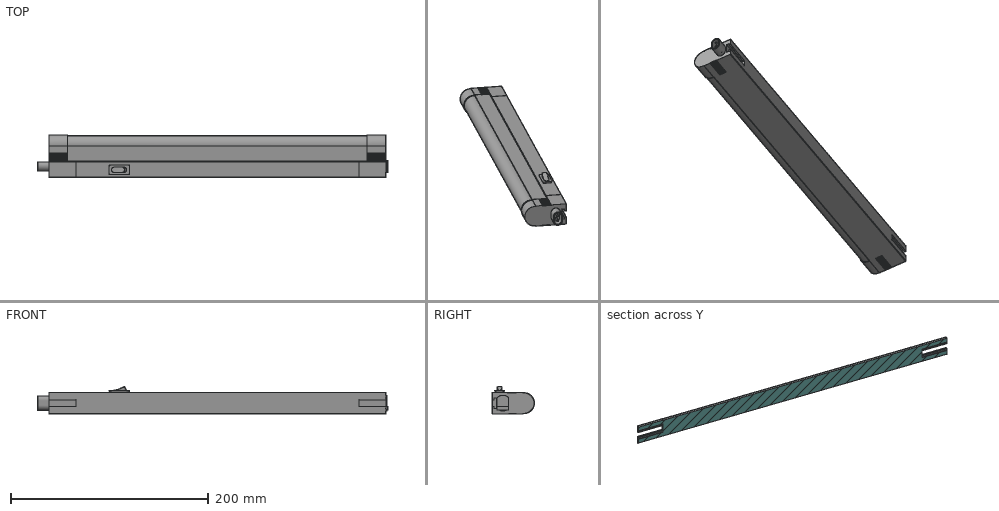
import cadquery as cq
import math

total_length = 355.0
total_depth = 43.0
total_height = 28.0
body_height = 22.0
body_start = 11.5
body_end = 353.0
mid_height = body_height / 2
edge_chamfer = 0.55

flat_end_y = 31.5
round_center_y = 32.3
cap_radius = total_depth - round_center_y
lens_radius = cap_radius - 0.7
cap_length = 19.0

front_depth = 15.5
front_block_length = 27.5
panel_drop = 0.18
seam_width = 0.7
seam_depth = 0.55

grip_start_y = 17.0
groove_count = 8
groove_pitch = 1.0
groove_width = 0.5
groove_depth = 0.55

slot_length = 27.5
slot_mouth_height = 6.7
slot_mouth_depth = 1.8
slot_inner_height = 10.5
slot_depth = 4.5

connector_y = 11.0
plug_height = 14.5
plug_width = 9.5
plug_wall = 1.25
bore_depth = 9.0
pin_diameter = 2.0
pin_spacing = 5.5
pin_length = 7.8
socket_diameter = 16.0
socket_width = 11.7
socket_thickness = 1.0
lip_bottom = 4.3
lip_height = 3.5

switch_start = 72.5
switch_length = 21.0
switch_width = 10.0
switch_y = 7.65
bezel_inset = 0.9
bezel_height = 1.8
rocker_start = 75.0
rocker_length = 15.3
rocker_width = 5.5
rocker_peak_x = 88.0
rocker_sag = 0.9
rocker_crown = 1.0


def box(x_start, x_end, y_start, y_end, z_start, z_end):
    """Box given by its limits along each axis."""
    size = (x_end - x_start, y_end - y_start, z_end - z_start)
    return cq.Workplane("XY").box(*size, centered=False).translate((x_start, y_start, z_start))


def cylinder(x_start, length, y, z, diameter):
    """Cylinder lying along X."""
    return cq.Workplane("YZ", origin=(x_start, y, z)).circle(diameter / 2).extrude(length)


def obround(x_start, length, width, height):
    """Bar along X with a tall round-ended section."""
    section = cq.Workplane("YZ", origin=(x_start, connector_y, mid_height))
    return section.slot2D(height, width, 90).extrude(length)


def make_housing():
    flat_part = box(body_start, body_end, 0, flat_end_y, 0, body_height)
    flat_part = flat_part.edges("|X and <Y and <Z").chamfer(edge_chamfer)
    lens = cylinder(body_start, body_end - body_start, round_center_y, mid_height, 2 * lens_radius)
    housing = flat_part.union(lens)
    for start in (body_start, body_end - cap_length):
        housing = housing.union(cylinder(start, cap_length, round_center_y, mid_height, 2 * cap_radius))
    return housing


def cut_top_panels(body):
    panel_z = body_height - panel_drop
    front_panel = box(body_start + front_block_length, body_end - front_block_length,
                      0, front_depth, panel_z, body_height)
    back_panel = box(body_start + cap_length, body_end - cap_length,
                     front_depth, flat_end_y, panel_z, body_height)
    seam = box(body_start, body_end, front_depth, front_depth + seam_width,
               body_height - seam_depth, body_height)
    return body.cut(front_panel).cut(back_panel).cut(seam)


def cut_grip_grooves(body):
    for start in (body_start, body_end - cap_length):
        for index in range(groove_count):
            y = grip_start_y + index * groove_pitch
            for z in (0, body_height - groove_depth):
                body = body.cut(box(start, start + cap_length, y, y + groove_width, z, z + groove_depth))
    return body


def cut_t_slots(body):
    half_mouth = slot_mouth_height / 2
    half_inner = slot_inner_height / 2
    for start in (body_start, body_end - slot_length):
        end = start + slot_length
        mouth = box(start, end, 0, slot_mouth_depth, mid_height - half_mouth, mid_height + half_mouth)
        inner = box(start, end, slot_mouth_depth, slot_depth, mid_height - half_inner, mid_height + half_inner)
        body = body.cut(mouth).cut(inner)
    return body


def make_plug():
    plug = obround(0, body_start, plug_width, plug_height)
    plug = plug.cut(obround(0, bore_depth, plug_width - 2 * plug_wall, plug_height - 2 * plug_wall))
    pin_start = bore_depth - pin_length
    for side in (-1, 1):
        pin_z = mid_height + side * pin_spacing / 2
        plug = plug.union(cylinder(pin_start, body_start - pin_start, connector_y, pin_z, pin_diameter))
    return plug


def make_socket():
    plate = cylinder(body_end, socket_thickness, connector_y, mid_height, socket_diameter)
    flats = box(body_end, total_length, connector_y - socket_width / 2, connector_y + socket_width / 2,
                0, body_height)
    plate = plate.intersect(flats)
    lip = box(body_end, total_length, connector_y - socket_width / 2, connector_y + socket_width / 2,
              lip_bottom, lip_bottom + lip_height)
    return plate.union(lip)


def make_bezel():
    """Rectangular plate that flares out towards its top."""
    base_z = body_height - panel_drop
    height = body_height + bezel_height - base_z
    flare_angle = math.degrees(math.atan(bezel_inset / height))
    return (
        cq.Workplane("XY", origin=(switch_start + switch_length / 2, switch_y, base_z))
        .rect(switch_length - 2 * bezel_inset, switch_width - 2 * bezel_inset)
        .extrude(height, taper=-flare_angle)
    )


def make_rocker():
    base_z = body_height
    bezel_z = body_height + bezel_height
    rocker_end = rocker_start + rocker_length
    half_width = rocker_width / 2

    hollow = ((rocker_start + rocker_peak_x) / 2, (bezel_z + total_height) / 2 - rocker_sag)
    side_shape = (
        cq.Workplane("XZ", origin=(0, switch_y + half_width, 0))
        .moveTo(rocker_start, base_z)
        .lineTo(rocker_start, bezel_z)
        .threePointArc(hollow, (rocker_peak_x, total_height))
        .lineTo(rocker_end, bezel_z)
        .lineTo(rocker_end, base_z)
        .close()
        .extrude(rocker_width)
    )
    plan_shape = (
        cq.Workplane("XY", origin=(rocker_start + rocker_length / 2, switch_y, base_z))
        .slot2D(rocker_length, rocker_width)
        .extrude(total_height - base_z)
    )
    shoulder_z = total_height - rocker_crown
    end_shape = (
        cq.Workplane("YZ", origin=(rocker_start, switch_y, 0))
        .moveTo(-half_width, base_z)
        .lineTo(-half_width, shoulder_z)
        .threePointArc((0, total_height), (half_width, shoulder_z))
        .lineTo(half_width, base_z)
        .close()
        .extrude(rocker_length)
    )
    return side_shape.intersect(plan_shape).intersect(end_shape)


body = make_housing()
body = cut_top_panels(body)
body = cut_grip_grooves(body)
body = cut_t_slots(body)
body = body.union(make_plug()).union(make_socket())
result = body.union(make_bezel()).union(make_rocker())